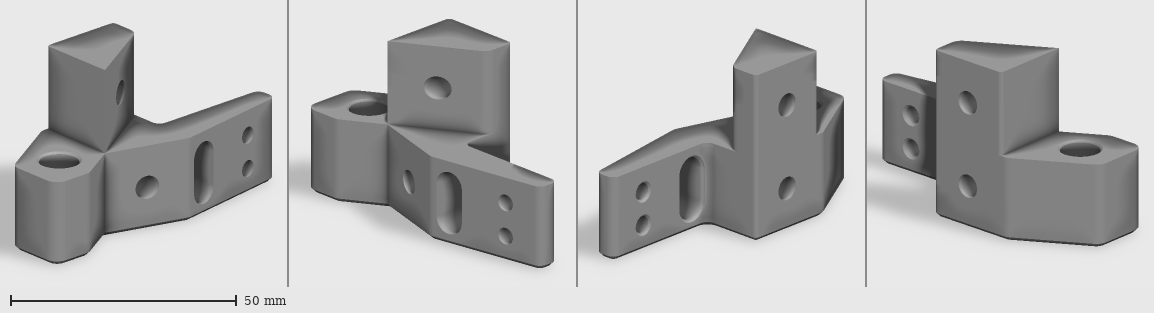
import cadquery as cq
import math

length = 69.9
width = 25.1
base_height = 20.0
tower_height = 40.0

tower_front = 20.0
tower_back = 39.9
tower_front_width = 19.15
arm_left = 14.95
arm_tip_width = 5.3
apex_x = 25.1
foot_left_start = 18.45
slant_angle = 59.5
slant = math.tan(math.radians(slant_angle))

small_radius = 1.0
arm_radius = 2.0
large_radius = 3.0
bottom_chamfer = 1.0
hole_chamfer = 0.5

tower_hole_diameter = 5.5
tower_hole_y = (tower_front + tower_back) / 2
tower_hole_heights = (base_height / 2, base_height * 1.5)
arm_hole_diameter = 4.0
arm_hole_y = 60.35
arm_hole_heights = (5.95, 13.9)
slot_width = 6.85
slot_length = 14.9
slot_y = 44.95
foot_hole_x = 15.1
foot_hole_y = 10.0
bore_diameter = 9.0
bore_depth = 14.95
foot_hole_diameter = 3.4

foot_corner_x = foot_left_start / slant
foot_right_end = tower_front - (width - tower_front_width) * slant
tower_back_width = tower_front_width - (tower_back - tower_front) / slant


def round_upright(body, x, y, radius):
    """Fillet the vertical edge at plan position (x, y)."""
    reach = 0.1
    corner = cq.selectors.BoxSelector((x - reach, y - reach, 0), (x + reach, y + reach, tower_height))
    return body.edges("|Z").edges(corner).fillet(radius)


def make_base():
    """Angled foot, middle section and tapered arm at one height."""
    corners = [
        (0, foot_left_start, large_radius),
        (foot_corner_x, 0, large_radius),
        (width, 0, large_radius),
        (width, foot_right_end, large_radius),
        (tower_front_width, tower_front, 0),
        (apex_x, tower_back, large_radius),
        (arm_left + arm_tip_width, length, arm_radius),
        (arm_left, length, arm_radius),
        (arm_left, tower_back, arm_radius),
        (0, tower_back, small_radius),
    ]
    outline = [(x, y) for x, y, radius in corners]
    base = cq.Workplane("XY").polyline(outline).close().extrude(base_height)
    for x, y, radius in corners:
        if radius > 0:
            base = round_upright(base, x, y, radius)
    return base.faces("<Z").chamfer(bottom_chamfer)


def make_tower():
    """Upper block with one slanted side, standing on the base."""
    outline = [
        (0, tower_front),
        (tower_front_width, tower_front),
        (tower_back_width, tower_back),
        (0, tower_back),
    ]
    tower = (
        cq.Workplane("XY")
        .workplane(offset=base_height)
        .polyline(outline)
        .close()
        .extrude(tower_height - base_height)
    )
    tower = round_upright(tower, 0, tower_front, small_radius)
    tower = round_upright(tower, 0, tower_back, small_radius)
    return round_upright(tower, tower_back_width, tower_back, large_radius)


def side_plane(x):
    """Plane facing +X whose local axes are Y and Z."""
    return cq.Workplane("YZ", origin=(x, 0, 0))


def cone(diameter):
    """Cutter for a hole's 45 degree entrance, narrowing along +Z."""
    radius = diameter / 2
    return cq.Solid.makeCone(radius + hole_chamfer, radius, hole_chamfer)


def tower_holes():
    points = [(tower_hole_y, z) for z in tower_hole_heights]
    return side_plane(0).pushPoints(points).circle(tower_hole_diameter / 2).extrude(width)


def arm_holes():
    points = [(arm_hole_y, z) for z in arm_hole_heights]
    holes = side_plane(arm_left).pushPoints(points).circle(arm_hole_diameter / 2).extrude(width)
    entrances = side_plane(arm_left).pushPoints(points).eachpoint(cone(arm_hole_diameter), True)
    return holes.union(entrances)


def arm_slot():
    """Upright slot, flared at its entrance on the left face of the arm."""
    center = (slot_y, base_height / 2)
    slot = side_plane(arm_left).center(*center).slot2D(slot_length, slot_width, 90).extrude(width)
    flare = (
        side_plane(arm_left)
        .center(*center)
        .slot2D(slot_length + 2 * hole_chamfer, slot_width + 2 * hole_chamfer, 90)
        .extrude(hole_chamfer, taper=45)
    )
    clearance = (
        side_plane(arm_left - arm_radius)
        .center(*center)
        .slot2D(slot_length + 2 * hole_chamfer, slot_width + 2 * hole_chamfer, 90)
        .extrude(arm_radius)
    )
    return slot.union(flare).union(clearance)


def foot_hole():
    """Chamfered blind bore with a smaller hole through its floor."""
    top = cq.Workplane("XY", origin=(foot_hole_x, foot_hole_y, base_height))
    bore = top.circle(bore_diameter / 2).extrude(-bore_depth)
    through = top.circle(foot_hole_diameter / 2).extrude(-base_height)
    entrance = cone(bore_diameter).mirror("XY").moved(
        cq.Location(cq.Vector(foot_hole_x, foot_hole_y, base_height))
    )
    return bore.union(through).union(cq.Workplane(entrance))


result = make_base().union(make_tower())
for cutter in (tower_holes(), arm_holes(), arm_slot(), foot_hole()):
    result = result.cut(cutter)